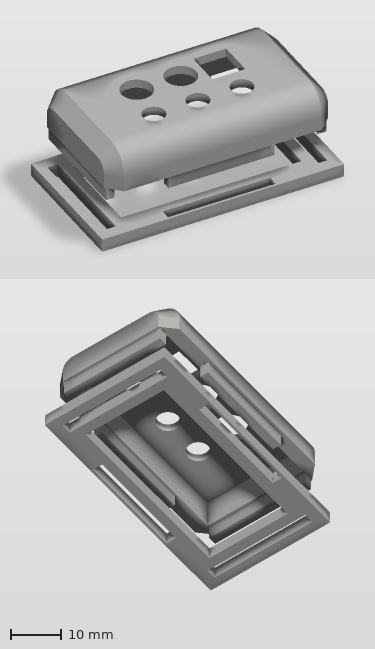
import cadquery as cq

width = 30.0
plate_length = 55.0
plate_thickness = 2.95
total_height = 22.0

cover_length = 51.0
cover_bottom = 13.1
cover_height = total_height - cover_bottom
shoulder_radius = 5.5
end_chamfer = 3.0
wall = 3.0
roof = 2.0

tab_depth = 3.15
tab_thickness = 2.0
tab_length = 24.1
end_tab_inset = 0.45
side_tab_inset = 0.7
slot_clearance = 0.15

opening_left_margin = 5.4
opening_right_margin = 5.0
opening_end_margin = 7.0

small_diameter = 5.0
small_x = 5.3
small_start_y = -10.5
large_diameter = 7.0
large_x = -3.75
large_start_y = -9.5
hole_pitch = 10.0
window_width = 8.05
window_length = 7.5
window_x = -3.75
window_y = 9.25

end_tab_y = (cover_length - tab_thickness) / 2 - end_tab_inset
side_tab_x = (width - tab_thickness) / 2 - side_tab_inset
tabs = []
for side in (-1, 1):
    tabs.append((0, side * end_tab_y, tab_length, tab_thickness))
    tabs.append((side * side_tab_x, 0, tab_thickness, tab_length))


def block(x_size, y_size, z_size, x=0, y=0, z=0):
    """Box centred on (x, y) with its underside at z."""
    return cq.Workplane().box(x_size, y_size, z_size, centered=(True, True, False)).translate((x, y, z))


def make_plate():
    """Flat frame with a central opening and a through slot for each tab."""
    plate = block(width, plate_length, plate_thickness)
    opening_width = width - opening_left_margin - opening_right_margin
    opening_x = (opening_left_margin - opening_right_margin) / 2
    opening_length = plate_length - 2 * opening_end_margin
    plate = plate.cut(block(opening_width, opening_length, plate_thickness, opening_x))
    for x, y, x_size, y_size in tabs:
        slot_x = x_size + 2 * slot_clearance
        slot_y = y_size + 2 * slot_clearance
        plate = plate.cut(block(slot_x, slot_y, plate_thickness, x, y))
    return plate


def make_outer_form():
    """Solid cover form: rounded long shoulders and chamfered ends."""
    form = block(width, cover_length, cover_height, z=cover_bottom)
    form = form.edges("|Y and >Z").fillet(shoulder_radius)
    for end in ("<Y", ">Y"):
        form = form.faces(end).edges("not <Z").chamfer(end_chamfer)
    return form


def cut_roof_openings(cover):
    """Two columns of round holes and one rectangular window."""
    small_points = [(small_x, small_start_y + i * hole_pitch) for i in range(3)]
    large_points = [(large_x, large_start_y + i * hole_pitch) for i in range(2)]
    sketch = cq.Workplane(origin=(0, 0, cover_bottom))
    cover = cover.cut(sketch.pushPoints(small_points).circle(small_diameter / 2).extrude(cover_height))
    cover = cover.cut(sketch.pushPoints(large_points).circle(large_diameter / 2).extrude(cover_height))
    return cover.cut(block(window_width, window_length, cover_height, window_x, window_y, cover_bottom))


def make_cover():
    """Hollow cover, open underneath, with four tabs hanging from its rim."""
    cavity_width = width - 2 * wall
    cavity_length = cover_length - 2 * wall
    cover = make_outer_form()
    cover = cover.cut(block(cavity_width, cavity_length, cover_height - roof, z=cover_bottom))
    cover = cut_roof_openings(cover)
    for x, y, x_size, y_size in tabs:
        cover = cover.union(block(x_size, y_size, tab_depth, x, y, cover_bottom - tab_depth))
    return cover


plate = make_plate()
cover = make_cover()
result = cq.Compound.makeCompound([plate.val(), cover.val()])